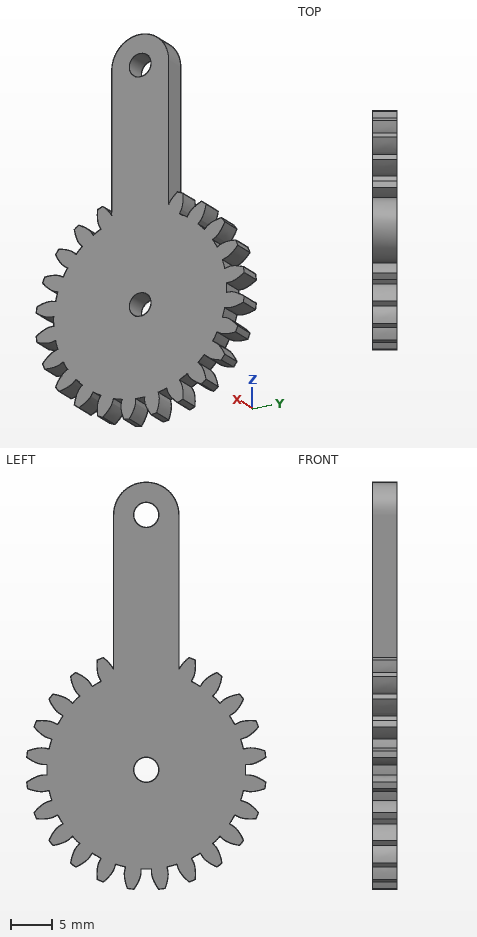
import cadquery as cq
import math

total_height = 49.55
thickness = 3.0
hole_diameter = 3.0
arm_width = 8.0

tooth_count = 24
pitch_diameter = 27.0
pressure_angle = math.radians(20)
dedendum_factor = 1.25
flank_points = 7

gear_module = pitch_diameter / tooth_count
pitch_radius = pitch_diameter / 2
tip_radius = pitch_radius + gear_module
root_radius = pitch_radius - dedendum_factor * gear_module
base_radius = pitch_radius * math.cos(pressure_angle)
tooth_pitch = 2 * math.pi / tooth_count


def involute_angle(radius):
    """Angle an involute has turned from the base circle out to a radius."""
    angle = math.acos(base_radius / radius)
    return math.tan(angle) - angle


def half_tooth_angle(radius):
    """Half the angle a tooth spans at a radius on or outside the base circle."""
    return tooth_pitch / 4 + involute_angle(pitch_radius) - involute_angle(radius)


def polar(radius, angle):
    return (radius * math.cos(angle), radius * math.sin(angle))


def make_tooth():
    """One tooth centred on the local x axis, sunk into the gear body."""
    flank_step = (tip_radius - base_radius) / (flank_points - 1)
    flank_radii = [base_radius + i * flank_step for i in range(flank_points)]
    right_flank = [polar(r, -half_tooth_angle(r)) for r in flank_radii]
    left_flank = [polar(r, half_tooth_angle(r)) for r in reversed(flank_radii)]
    foot_radius = root_radius - gear_module
    foot_angle = half_tooth_angle(base_radius)
    return (
        cq.Workplane("YZ")
        .moveTo(*polar(foot_radius, -foot_angle))
        .lineTo(*right_flank[0])
        .spline(right_flank[1:], includeCurrent=True)
        .threePointArc((tip_radius, 0), left_flank[0])
        .spline(left_flank[1:], includeCurrent=True)
        .lineTo(*polar(foot_radius, foot_angle))
        .close()
        .extrude(thickness)
    )


def make_gear():
    """Gear about the X axis, with a tooth gap centred on the Y and Z axes."""
    gear = cq.Workplane("YZ").circle(root_radius).extrude(thickness)
    tooth = make_tooth()
    for i in range(tooth_count):
        angle = math.degrees((i + 0.5) * tooth_pitch)
        gear = gear.union(tooth.rotate((0, 0, 0), (1, 0, 0), angle))
    return gear


gear_depth = tip_radius * math.cos(tooth_pitch / 2 - half_tooth_angle(tip_radius))
arm_end_radius = arm_width / 2
hole_spacing = total_height - gear_depth - arm_end_radius


def make_arm():
    """Arm rising from the gear centre to a full-round end."""
    return (
        cq.Workplane("YZ")
        .moveTo(-arm_end_radius, 0)
        .lineTo(arm_end_radius, 0)
        .lineTo(arm_end_radius, hole_spacing)
        .threePointArc((0, hole_spacing + arm_end_radius), (-arm_end_radius, hole_spacing))
        .close()
        .extrude(thickness)
    )


holes = (
    cq.Workplane("YZ")
    .pushPoints([(0, 0), (0, hole_spacing)])
    .circle(hole_diameter / 2)
    .extrude(thickness)
)

result = make_gear().union(make_arm()).cut(holes)